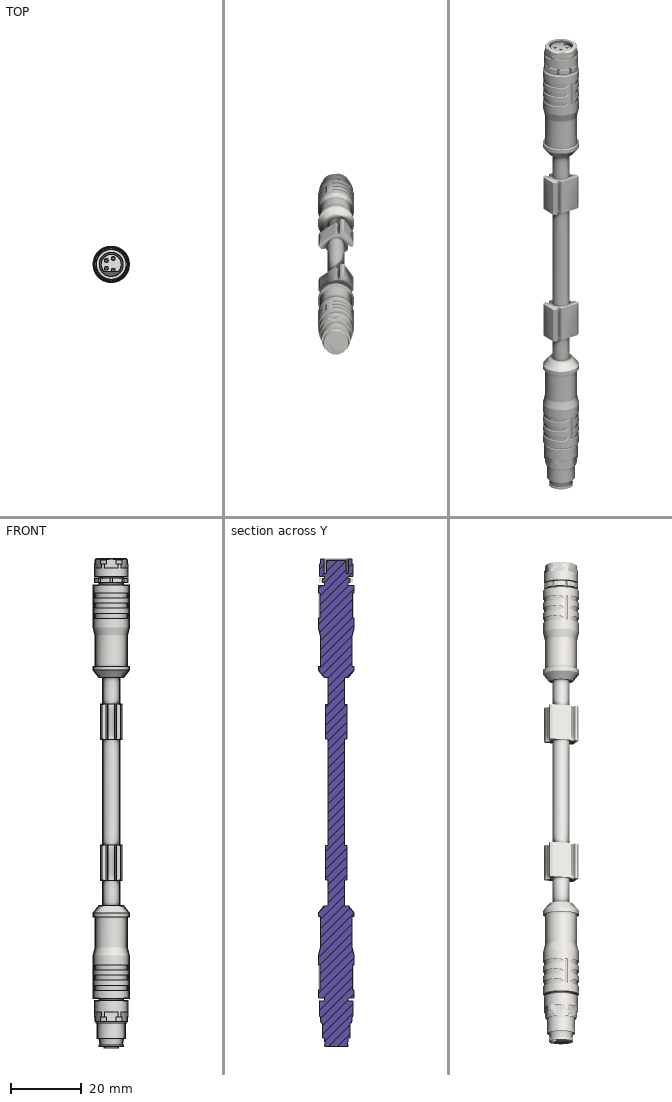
import cadquery as cq
import math

length = 138.6

grip_diameter = 10.3
grip_length = 12.0
taper_end = 14.3
boot_diameter = 9.1
boot_end = 23.0
flange_end = 24.1
cone_end = 26.2
cone_diameter = 6.9
groove_diameter = 9.5
groove_width = 1.4
groove_count = 3
groove_pitch = 2.9
first_groove = 2.9
thumb_rib_width = 3.9
thumb_rib_waist = 1.7
thumb_slot_width = 0.8
thumb_slot_length = 6.9
thumb_slot_depth = 0.4

shell_diameter = 9.5
hex_tip_diameter = 9.1
hex_across_flats = 8.7
neck_diameter = 6.9
socket_grip_z = 131.1
plug_grip_z = 14.1

hex_bottom_z = 136.0
hex_step_z = 137.1
rim_chamfer = 0.35
undercut_z = 133.0
undercut_height = 0.4
collar_bottom_z = 131.8
collar_slot_count = 8
collar_slot_width = 0.8
collar_slot_depth = 0.8
bore_diameter = 6.8
bore_depth = 4.2
insert_diameter = 5.7
insert_recess = 0.4
contact_diameter = 1.08
contact_depth = 2.8
contact_positions = [(0.5, 1.7), (0.5, -1.7), (-1.4, 1.1), (-1.4, -1.1)]
key_flat = 2.1

plug_neck_z = 13.5
plug_hex_top_z = 10.3
plug_hex_step_z = 8.9
plug_hex_bottom_z = 7.6
plug_ring_bottom_z = 7.0
plug_ring_diameter = 8.7
plug_sleeve_diameter = 8.0
plug_sleeve_bottom_z = 2.8
nose_diameter = 6.9
nose_waist_diameter = 6.4
nose_lip_top_z = 1.0
nose_bottom_z = 0.4
key_diameter = 5.8

cable_diameter = 4.9
clip_length = 10.0
clip_bottoms = [47.5, 87.5]
clip_half_width = 3.0
clip_front_y = -4.2
clip_back_y = 4.5
channel_floor_y = -2.9
channel_half_width = 1.0
lip_half_span = 2.6
lip_corner = 0.7
lip_bevel = 0.5
lip_edge = 0.1
side_notch_start_y = 2.0
side_notch_end_y = 3.3
side_notch_half_span = 2.1
side_notch_taper = 0.3
flange_half_width = 2.9
flange_corner = 0.5


def cylinder(diameter, z_low, z_high):
    return cq.Workplane("XY").workplane(offset=z_low).circle(diameter / 2).extrude(z_high - z_low)


def hex_section(diameter, z_low, z_high):
    """Round shell section with six flats, two of them facing -Y and +Y."""
    height = z_high - z_low
    corners = hex_across_flats / math.cos(math.pi / 6)
    prism = cq.Workplane("XY").workplane(offset=z_low).polygon(6, corners).extrude(height)
    return cylinder(diameter, z_low, z_high).intersect(prism)


def thumb_rib(z_low, z_high):
    """Rib across the -X and +X sides that interrupts a grip groove; it narrows to a waist."""
    wide = thumb_rib_width / 2
    waist = thumb_rib_waist / 2
    middle = (z_low + z_high) / 2
    outline = [
        (-wide, z_low),
        (wide, z_low),
        (waist, middle),
        (wide, z_high),
        (-wide, z_high),
        (-waist, middle),
    ]
    return cq.Workplane("YZ").polyline(outline).close().extrude(grip_diameter, both=True)


def grip_and_boot():
    """Overmould along +Z, starting with the neck end of the grip at Z = 0."""
    outline = [
        (0, 0),
        (grip_diameter / 2, 0),
        (grip_diameter / 2, grip_length),
        (boot_diameter / 2, taper_end),
        (boot_diameter / 2, boot_end),
        (grip_diameter / 2, boot_end),
        (grip_diameter / 2, flange_end),
        (cone_diameter / 2, cone_end),
        (0, cone_end),
    ]
    body = cq.Workplane("XZ").polyline(outline).close().revolve(360, (0, 0), (0, 1))
    for i in range(groove_count):
        middle = first_groove + i * groove_pitch
        low = middle - groove_width / 2
        high = middle + groove_width / 2
        ring = cylinder(2 * grip_diameter, low, high).cut(cylinder(groove_diameter, low, high))
        body = body.cut(ring.cut(thumb_rib(low, high)))
    slot_z = first_groove + groove_pitch * (groove_count - 1) / 2
    for side in (-1, 1):
        slot = cq.Workplane("XY").box(2 * thumb_slot_depth, thumb_slot_width, thumb_slot_length)
        body = body.cut(slot.translate((side * grip_diameter / 2, 0, slot_z)))
    return body


def collar():
    """Slotted collar between the socket shell and its neck."""
    ring = cylinder(shell_diameter, collar_bottom_z, undercut_z)
    height = undercut_z - collar_bottom_z
    middle_z = (undercut_z + collar_bottom_z) / 2
    for i in range(collar_slot_count):
        slot = cq.Workplane("XY").box(2 * collar_slot_depth, collar_slot_width, height)
        slot = slot.translate((shell_diameter / 2, 0, middle_z))
        ring = ring.cut(slot.rotate((0, 0, 0), (0, 0, 1), i * 360 / collar_slot_count))
    return ring


def key_segment(diameter, z_low, z_high):
    """Round segment on the -Y side, bounded by the key flat."""
    block = cq.Workplane("XY").workplane(offset=z_low).rect(diameter, diameter).extrude(z_high - z_low)
    block = block.translate((0, -key_flat - diameter / 2, 0))
    return cylinder(diameter, z_low, z_high).intersect(block)


def socket_shell():
    shell_bottom = undercut_z + undercut_height
    rim = cylinder(hex_tip_diameter, hex_step_z, length).faces(">Z").edges().chamfer(rim_chamfer)
    body = rim.intersect(hex_section(hex_tip_diameter, hex_step_z, length))
    body = body.union(hex_section(shell_diameter, hex_bottom_z, hex_step_z))
    body = body.union(cylinder(shell_diameter, shell_bottom, hex_bottom_z))
    body = body.union(cylinder(neck_diameter, undercut_z, shell_bottom))
    body = body.union(collar())
    body = body.union(cylinder(neck_diameter, socket_grip_z, collar_bottom_z))
    floor_z = length - bore_depth
    body = body.cut(cylinder(bore_diameter, floor_z, length))
    insert_top = length - insert_recess
    insert = cylinder(insert_diameter, floor_z, insert_top)
    insert = insert.cut(key_segment(insert_diameter, floor_z, insert_top))
    contacts = (
        cq.Workplane("XY")
        .workplane(offset=insert_top - contact_depth)
        .pushPoints(contact_positions)
        .circle(contact_diameter / 2)
        .extrude(contact_depth)
    )
    return body.union(insert.cut(contacts))


def tapered_nose():
    """Cone between the plug sleeve and the tip lip, thinnest where it meets the lip."""
    height = plug_sleeve_bottom_z - nose_lip_top_z
    waist = cq.Workplane("XY").workplane(offset=nose_lip_top_z).circle(nose_waist_diameter / 2)
    return waist.workplane(offset=height).circle(nose_diameter / 2).loft()


def plug_shell():
    body = cylinder(neck_diameter, plug_neck_z, plug_grip_z)
    body = body.union(cylinder(shell_diameter, plug_hex_top_z, plug_neck_z))
    body = body.union(hex_section(shell_diameter, plug_hex_step_z, plug_hex_top_z))
    body = body.union(hex_section(hex_tip_diameter, plug_hex_bottom_z, plug_hex_step_z))
    body = body.union(cylinder(plug_ring_diameter, plug_ring_bottom_z, plug_hex_bottom_z))
    body = body.union(cylinder(plug_sleeve_diameter, plug_sleeve_bottom_z, plug_ring_bottom_z))
    body = body.union(tapered_nose())
    body = body.union(cylinder(nose_diameter, nose_bottom_z, nose_lip_top_z))
    return body.union(key_segment(key_diameter, 0, nose_bottom_z))


def marker_clip(bottom_z):
    """Clip with a marker channel on the -Y side and a grooved flange on the +Y side."""
    lip_inner_x = channel_half_width + 2 * lip_bevel
    right_half = [
        (0, channel_floor_y),
        (channel_half_width, channel_floor_y),
        (channel_half_width + lip_edge, channel_floor_y - lip_bevel),
        (channel_half_width + lip_bevel, clip_front_y + lip_edge),
        (lip_inner_x, clip_front_y),
        (lip_half_span, clip_front_y),
        (clip_half_width, clip_front_y + lip_corner),
        (clip_half_width, side_notch_start_y),
        (side_notch_half_span, side_notch_start_y + side_notch_taper),
        (side_notch_half_span, side_notch_end_y - side_notch_taper),
        (flange_half_width, side_notch_end_y),
        (flange_half_width, clip_back_y - flange_corner),
        (flange_half_width - flange_corner, clip_back_y),
        (0, clip_back_y),
    ]
    left_half = [(-x, y) for x, y in reversed(right_half[1:-1])]
    outline = cq.Workplane("XY").workplane(offset=bottom_z).polyline(right_half + left_half)
    return outline.close().extrude(clip_length)


overmould = grip_and_boot()
socket_boot = overmould.mirror("XY").translate((0, 0, socket_grip_z))
plug_boot = overmould.translate((0, 0, plug_grip_z))

result = cylinder(cable_diameter, plug_grip_z + cone_end, socket_grip_z - cone_end)
for clip_bottom in clip_bottoms:
    result = result.union(marker_clip(clip_bottom))
result = result.union(socket_boot).union(plug_boot)
result = result.union(socket_shell()).union(plug_shell())